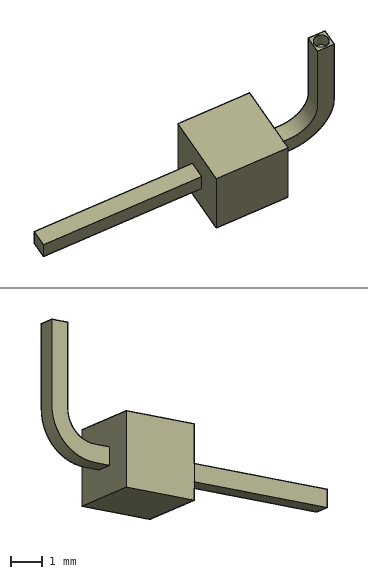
import cadquery as cq

total_length = 10.56
total_height = 5.46

block_side = 2.55
block_length = 2.61
front_pin_length = 5.74

pin_side = 0.61
bend_inner_radius = 1.02
tip_hole_diameter = 0.5
tip_hole_depth = 0.5

block_front = front_pin_length
pin_bottom = (block_side - pin_side) / 2
pin_top = pin_bottom + pin_side
bend_outer_radius = bend_inner_radius + pin_side
bend_start = total_length - bend_outer_radius
bend_end_height = pin_bottom + bend_outer_radius
diagonal = 0.5 ** 0.5


def make_block():
    return (
        cq.Workplane("XY")
        .box(block_side, block_length, block_side, centered=(True, False, False))
        .translate((0, block_front, 0))
    )


def bend_midpoint(radius):
    """Point halfway round a quarter bend of the given radius."""
    return (bend_start + radius * diagonal, bend_end_height - radius * diagonal)


def make_pin():
    """Side profile of the bent pin in the YZ plane, extruded across its width."""
    return (
        cq.Workplane("YZ")
        .moveTo(0, pin_bottom)
        .lineTo(bend_start, pin_bottom)
        .threePointArc(bend_midpoint(bend_outer_radius), (total_length, bend_end_height))
        .lineTo(total_length, total_height)
        .lineTo(total_length - pin_side, total_height)
        .lineTo(total_length - pin_side, bend_end_height)
        .threePointArc(bend_midpoint(bend_inner_radius), (bend_start, pin_top))
        .lineTo(0, pin_top)
        .close()
        .extrude(pin_side / 2, both=True)
    )


def make_tip_hole():
    """Blind round hole in the upturned end of the pin."""
    return (
        cq.Workplane("XY", origin=(0, total_length - pin_side / 2, total_height))
        .circle(tip_hole_diameter / 2)
        .extrude(-tip_hole_depth)
    )


result = make_block().union(make_pin()).cut(make_tip_hole())